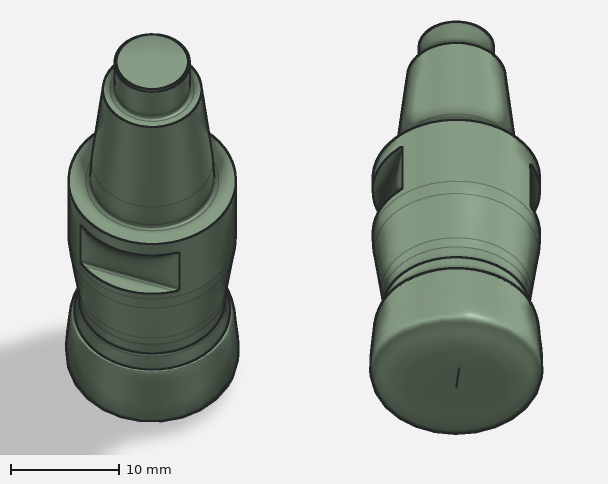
import cadquery as cq

SPLIT_Z = 8.35
WAIST_BOTTOM_Z = 10.2
COLLAR_BOTTOM_Z = 19.05
COLLAR_TOP_Z = 26.95
TAPER_TOP_Z = 39.95
TOTAL_HEIGHT = 43.9

TIP_RADIUS = 7.0 / 2
TIP_CHAMFER = 0.18
TAPER_TOP_RADIUS = 4.55
TAPER_KNEE_RADIUS = 5.6
TAPER_KNEE_Z = 29.75
NECK_RADIUS = 5.75
ROOT_FILLET = 0.4

COLLAR_RADIUS = 15.5 / 2
FLAT_DISTANCE = 6.0
FLAT_BOTTOM_Z = 19.85
FLAT_TOP_Z = 25.35
FLAT_FILLET = 0.25

SHOULDER_RADIUS = 7.6
SHOULDER_Z = 17.6
FLARE_RADIUS = 6.95
FLARE_Z = 12.55
WAIST_RADIUS = 6.8
WAIST_TOP_Z = 11.5
FOOT_STEP_Z = 9.92
FOOT_STEP_RADIUS = 6.95
FOOT_RADIUS = 7.2

BULB_OUTLINE = [
    (4.5, 0.2),
    (6.95, 0.9),
    (7.8, 1.65),
    (8.0, 2.45),
    (7.85, 4.85),
    (7.65, 7.45),
    (7.5, 8.05),
    (FOOT_RADIUS, SPLIT_Z),
]
BULB_START_DIRECTION = (1, 0)
BULB_END_DIRECTION = (-1, 0.4)


def root_fillet(profile, radius, floor_z):
    """Draw the concave quarter round from a vertical wall down to a floor, going outwards."""
    return profile.radiusArc((radius + ROOT_FILLET, floor_z), -ROOT_FILLET)


def revolve_profile(profile):
    """Close a half profile along the Z axis and turn it into a solid."""
    return profile.close().revolve(360, (0, 0, 0), (0, 1, 0))


def make_flat_cutter():
    """Block with two rounded inner edges that cuts the flat on the -Y side of the collar."""
    return (
        cq.Workplane("XY", origin=(0, -FLAT_DISTANCE, FLAT_BOTTOM_Z))
        .box(
            2 * COLLAR_RADIUS,
            COLLAR_RADIUS,
            FLAT_TOP_Z - FLAT_BOTTOM_Z,
            centered=(True, False, False),
        )
        .translate((0, -COLLAR_RADIUS, 0))
        .faces(">Y")
        .edges("|X")
        .fillet(FLAT_FILLET)
    )


def make_body():
    """Tip, tapered neck, flatted collar and waist, in one piece."""
    profile = (
        cq.Workplane("XZ")
        .moveTo(0, TOTAL_HEIGHT)
        .lineTo(TIP_RADIUS - TIP_CHAMFER, TOTAL_HEIGHT)
        .lineTo(TIP_RADIUS, TOTAL_HEIGHT - TIP_CHAMFER)
        .lineTo(TIP_RADIUS, TAPER_TOP_Z + ROOT_FILLET)
    )
    profile = (
        root_fillet(profile, TIP_RADIUS, TAPER_TOP_Z)
        .lineTo(TAPER_TOP_RADIUS, TAPER_TOP_Z)
        .lineTo(TAPER_KNEE_RADIUS, TAPER_KNEE_Z)
        .lineTo(NECK_RADIUS, COLLAR_TOP_Z + ROOT_FILLET)
    )
    profile = (
        root_fillet(profile, NECK_RADIUS, COLLAR_TOP_Z)
        .lineTo(COLLAR_RADIUS, COLLAR_TOP_Z)
        .lineTo(COLLAR_RADIUS, COLLAR_BOTTOM_Z)
        .tangentArcPoint((SHOULDER_RADIUS, SHOULDER_Z), relative=False)
        .lineTo(FLARE_RADIUS, FLARE_Z)
        .lineTo(WAIST_RADIUS, WAIST_TOP_Z)
        .lineTo(WAIST_RADIUS, WAIST_BOTTOM_Z)
        .lineTo(FOOT_STEP_RADIUS, FOOT_STEP_Z)
        .lineTo(FOOT_RADIUS, SPLIT_Z)
        .lineTo(0, SPLIT_Z)
    )
    body = revolve_profile(profile)
    for angle in (0, 180):
        body = body.cut(make_flat_cutter().rotate((0, 0, 0), (0, 0, 1), angle))
    return body


def make_bulb():
    """Rounded, slightly tapered bulb under the body."""
    profile = (
        cq.Workplane("XZ")
        .moveTo(0, 0)
        .spline(
            BULB_OUTLINE,
            tangents=[BULB_START_DIRECTION, BULB_END_DIRECTION],
            includeCurrent=True,
        )
        .lineTo(0, SPLIT_Z)
    )
    return revolve_profile(profile)


body = make_body()
bulb = make_bulb()

result = cq.Compound.makeCompound([body.val(), bulb.val()])